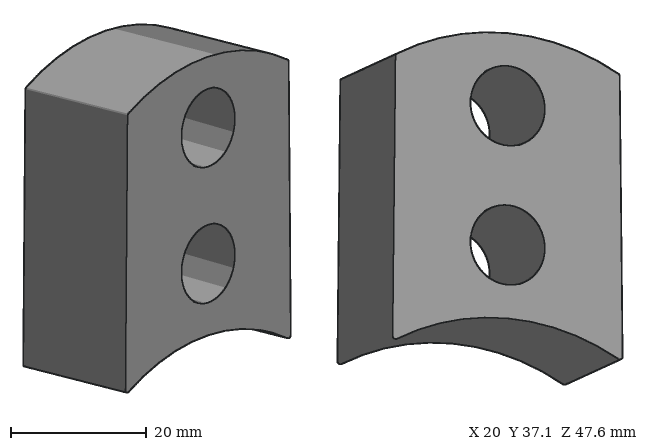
import cadquery as cq
import math


thickness = 20.0
crown_height = 47.6
hollow_height = 4.65
end_radius = 37.0
top_half_width = 18.1
bottom_half_width = 18.55
corner_radius = 0.48
hole_diameter = 12.0
hole_heights = (15.7, 36.65)


def arc_drop(half_width):
    """Fall of a curved end from its middle to the given half width."""
    return end_radius - math.sqrt(end_radius**2 - half_width**2)


top_corner_height = crown_height - arc_drop(top_half_width)
bottom_corner_height = hollow_height - arc_drop(bottom_half_width)

body = (
    cq.Workplane("YZ")
    .moveTo(-bottom_half_width, bottom_corner_height)
    .lineTo(-top_half_width, top_corner_height)
    .threePointArc((0, crown_height), (top_half_width, top_corner_height))
    .lineTo(bottom_half_width, bottom_corner_height)
    .threePointArc((0, hollow_height), (-bottom_half_width, bottom_corner_height))
    .close()
    .extrude(thickness / 2, both=True)
)

body = body.edges("|X").fillet(corner_radius)

holes = (
    cq.Workplane("YZ")
    .pushPoints([(0, height) for height in hole_heights])
    .circle(hole_diameter / 2)
    .extrude(thickness, both=True)
)

result = body.cut(holes)